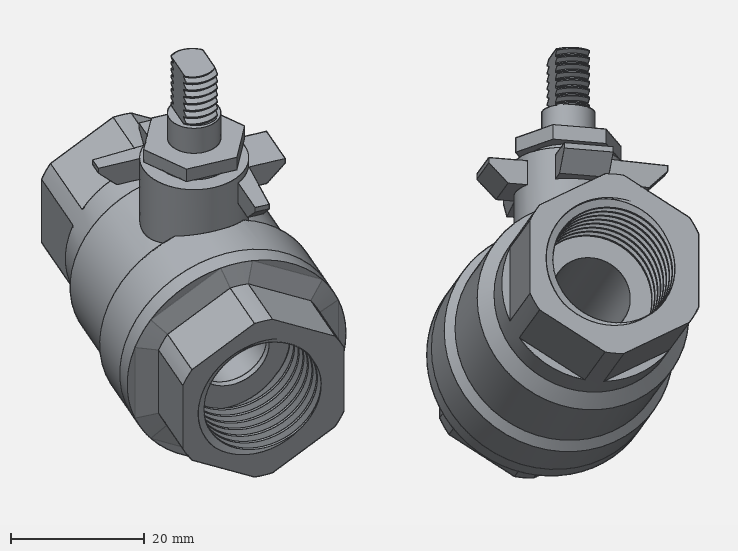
import cadquery as cq
import math


OVERALL_HEIGHT = 60.6

INLET_END = -28.9
INLET_FLATS_END = -16.25
INLET_TUBE_END = -11.35
BELLY_START = -9.2
BELLY_END = 4.65
COLLAR_START = 6.0
JOINT = 14.05
CAP_RIM_END = 17.0
CAP_FLATS_START = 18.05
OUTLET_END = 27.8

BORE_DIA = 12.0
TUBE_DIA = 28.4
BELLY_DIA = 32.55
COLLAR_DIA = 35.2
HEX_WIDTH = 25.95
PIPE_THREAD_MINOR_DIA = 18.6
PIPE_THREAD_MAJOR_DIA = 20.95
PIPE_THREAD_PITCH = 1.8
PIPE_THREAD_ROOT_FLAT = 0.55
PIPE_THREAD_CREST_FLAT = 0.4
PIPE_THREAD_START_ANGLE = 102
INLET_THREAD_DEPTH = 14.55
OUTLET_THREAD_DEPTH = 12.65

NECK_DIA = 16.3
NECK_TOP = 25.65
TAB_TOP = 24.5
TAB_BOTTOM = 20.65
TAB_TIP_HEIGHT = 0.85
WIDE_TAB_HALF_WIDTH = 3.75
WIDE_TAB_REACH_X = 12.8
WIDE_TAB_REACH_Y = 13.15
NARROW_TAB_REACH = 13.7
NARROW_TAB_INNER = 4.3
NARROW_TAB_TIP_OUTER = 6.6
NARROW_TAB_ROOT_OUTER = 7.35

STEM_COLLAR_DIA = 11.3
STEM_HEX_BOTTOM = 27.0
STEM_HEX_TOP = 29.35
STEM_HEX_WIDTH = 14.05
STEM_DIA = 8.0
STEM_SHOULDER = 33.95
STEM_TOP = OVERALL_HEIGHT - COLLAR_DIA / 2
STEM_FLATS_WIDTH = 5.0
STEM_THREAD_MINOR_DIA = 6.55
STEM_THREAD_PITCH = STEM_DIA * 5 / 32
STEM_THREAD_ROOT_FLAT = 0.2
STEM_THREAD_CREST_FLAT = 0.2
STEM_THREAD_START_ANGLE = -50

GROOVE_OVERCUT = 0.05
TRIM_MARGIN = 0.6


def x_cylinder(diameter, start, end):
    return cq.Workplane("YZ", origin=(start, 0, 0)).circle(diameter / 2).extrude(end - start)


def z_cylinder(diameter, bottom, top):
    return cq.Workplane("XY", origin=(0, 0, bottom)).circle(diameter / 2).extrude(top - bottom)


def hexagon(workplane, width):
    """Hexagon with the given width across flats; two of its corners lie on the local Y axis."""
    corner_dia = width / math.cos(math.pi / 6)
    return workplane.transformed(rotate=(0, 0, 90)).polygon(6, corner_dia)


def hex_end(start, end):
    """Hexagonal wrench end whose corners are rounded to the tube diameter."""
    prism = hexagon(cq.Workplane("YZ", origin=(start, 0, 0)), HEX_WIDTH).extrude(end - start)
    return prism.intersect(x_cylinder(TUBE_DIA, start, end))


def helical_groove(root_radius, crest_radius, pitch, root_flat, crest_flat, length, start_angle):
    """Right-handed trapezoidal thread groove around Z, one pitch longer than `length` at both ends.

    Its middle crosses Z = 0 at `start_angle`, in degrees from the X axis.
    """
    depth = abs(crest_radius - root_radius)
    half_root = root_flat / 2
    half_crest = (pitch - crest_flat) / 2
    reach = 1 + GROOVE_OVERCUT / depth
    outer_radius = root_radius + reach * (crest_radius - root_radius)
    half_outer = half_root + reach * (half_crest - half_root)
    outline = [
        (root_radius, -half_root),
        (outer_radius, -half_outer),
        (outer_radius, half_outer),
        (root_radius, half_root),
    ]
    helix = cq.Wire.makeHelix(pitch, length + 2 * pitch, root_radius)
    groove = cq.Workplane("XZ").polyline(outline).close().sweep(cq.Workplane(helix), isFrenet=True)
    return groove.translate((0, 0, -pitch)).rotate((0, 0, 0), (0, 0, 1), start_angle)


def pipe_thread_cavity(depth):
    """Threaded socket that opens at X = 0 and runs toward +X."""
    groove = helical_groove(
        PIPE_THREAD_MAJOR_DIA / 2, PIPE_THREAD_MINOR_DIA / 2,
        PIPE_THREAD_PITCH, PIPE_THREAD_ROOT_FLAT, PIPE_THREAD_CREST_FLAT, depth, PIPE_THREAD_START_ANGLE,
    )
    groove = groove.rotate((0, 0, 0), (0, 1, 0), 90)
    groove = groove.intersect(x_cylinder(PIPE_THREAD_MAJOR_DIA + TRIM_MARGIN, 0, depth))
    return x_cylinder(PIPE_THREAD_MINOR_DIA, 0, depth).union(groove)


def tab_side(reach, half_width):
    """Slab toward +X with the side outline of a tab: flat top, upright tip, 45 degree underside."""
    tip_bottom = TAB_TOP - TAB_TIP_HEIGHT
    outline = [
        (0, TAB_BOTTOM),
        (reach - (tip_bottom - TAB_BOTTOM), TAB_BOTTOM),
        (reach, tip_bottom),
        (reach, TAB_TOP),
        (0, TAB_TOP),
    ]
    return cq.Workplane("XZ").polyline(outline).close().extrude(half_width, both=True)


def wide_tab(reach):
    """Tab of constant width, centred on +X."""
    return tab_side(reach, WIDE_TAB_HALF_WIDTH)


def narrow_tab():
    """Tab toward +X, set to the +Y side of the axis and narrowing to its tip."""
    plan = [
        (0, NARROW_TAB_INNER),
        (NARROW_TAB_REACH, NARROW_TAB_INNER),
        (NARROW_TAB_REACH, NARROW_TAB_TIP_OUTER),
        (WIDE_TAB_HALF_WIDTH, NARROW_TAB_ROOT_OUTER),
        (0, NARROW_TAB_ROOT_OUTER),
    ]
    blade = cq.Workplane("XY", origin=(0, 0, TAB_BOTTOM)).polyline(plan).close()
    blade = blade.extrude(TAB_TOP - TAB_BOTTOM)
    return blade.intersect(tab_side(NARROW_TAB_REACH, NARROW_TAB_ROOT_OUTER))


def neck():
    stub = z_cylinder(NECK_DIA, 0, NECK_TOP)
    z_axis = ((0, 0, 0), (0, 0, 1))
    tab_x = narrow_tab()
    tab_y = tab_x.mirror("XZ").rotate(*z_axis, -90)
    stub = stub.union(wide_tab(WIDE_TAB_REACH_X).rotate(*z_axis, 180))
    stub = stub.union(wide_tab(WIDE_TAB_REACH_Y).rotate(*z_axis, 90))
    return stub.union(tab_x).union(tab_y)


def make_body():
    profile = [
        (INLET_FLATS_END, 0),
        (INLET_FLATS_END, TUBE_DIA / 2),
        (INLET_TUBE_END, TUBE_DIA / 2),
        (BELLY_START, BELLY_DIA / 2),
        (BELLY_END, BELLY_DIA / 2),
        (COLLAR_START, COLLAR_DIA / 2),
        (JOINT, COLLAR_DIA / 2),
        (JOINT, 0),
    ]
    shell = cq.Workplane("XY").polyline(profile).close().revolve(360, (0, 0, 0), (1, 0, 0))
    solid = shell.union(neck()).union(hex_end(INLET_END, INLET_FLATS_END))
    solid = solid.cut(x_cylinder(BORE_DIA, INLET_END, JOINT))
    return solid.cut(pipe_thread_cavity(INLET_THREAD_DEPTH).translate((INLET_END, 0, 0)))


def make_cap():
    rim = x_cylinder(COLLAR_DIA, JOINT, CAP_RIM_END)
    length = CAP_FLATS_START - CAP_RIM_END
    rise = (COLLAR_DIA - TUBE_DIA) / 2
    taper = math.degrees(math.atan2(rise, length))
    base = cq.Workplane("YZ", origin=(CAP_RIM_END, 0, 0))
    cone = base.circle(COLLAR_DIA / 2).extrude(length, taper=taper)
    pyramid = hexagon(base, HEX_WIDTH + 2 * rise).extrude(length, taper=taper)
    solid = rim.union(cone.intersect(pyramid)).union(hex_end(CAP_FLATS_START, OUTLET_END))
    solid = solid.cut(x_cylinder(BORE_DIA, JOINT, OUTLET_END))
    socket = pipe_thread_cavity(OUTLET_THREAD_DEPTH).rotate((0, 0, 0), (0, 0, 1), 180)
    socket = socket.translate((OUTLET_END, 0, 0))
    return solid.cut(socket)


def slab(width, height):
    """Slab on Z = 0, of the given width along Y and wider than the stem along X."""
    return cq.Workplane("XY").rect(2 * STEM_DIA, width).extrude(height)


def threaded_tip():
    """Threaded top of the stem with two parallel flats."""
    length = STEM_TOP - STEM_SHOULDER
    groove = helical_groove(
        STEM_THREAD_MINOR_DIA / 2, STEM_DIA / 2,
        STEM_THREAD_PITCH, STEM_THREAD_ROOT_FLAT, STEM_THREAD_CREST_FLAT, length, STEM_THREAD_START_ANGLE,
    )
    rod = z_cylinder(STEM_DIA, 0, length).intersect(slab(STEM_FLATS_WIDTH, length))
    groove = groove.intersect(slab(STEM_FLATS_WIDTH + TRIM_MARGIN, length))
    return rod.cut(groove).translate((0, 0, STEM_SHOULDER))


def make_stem():
    collar = z_cylinder(STEM_COLLAR_DIA, NECK_TOP, STEM_HEX_BOTTOM)
    nut_plane = cq.Workplane("XY", origin=(0, 0, STEM_HEX_BOTTOM))
    nut = hexagon(nut_plane, STEM_HEX_WIDTH).extrude(STEM_HEX_TOP - STEM_HEX_BOTTOM)
    shaft = z_cylinder(STEM_DIA, STEM_HEX_TOP, STEM_SHOULDER)
    return collar.union(nut).union(shaft).union(threaded_tip())


body = make_body()
cap = make_cap()
stem = make_stem()

result = cq.Compound.makeCompound([body.solids().val(), cap.solids().val(), stem.solids().val()])